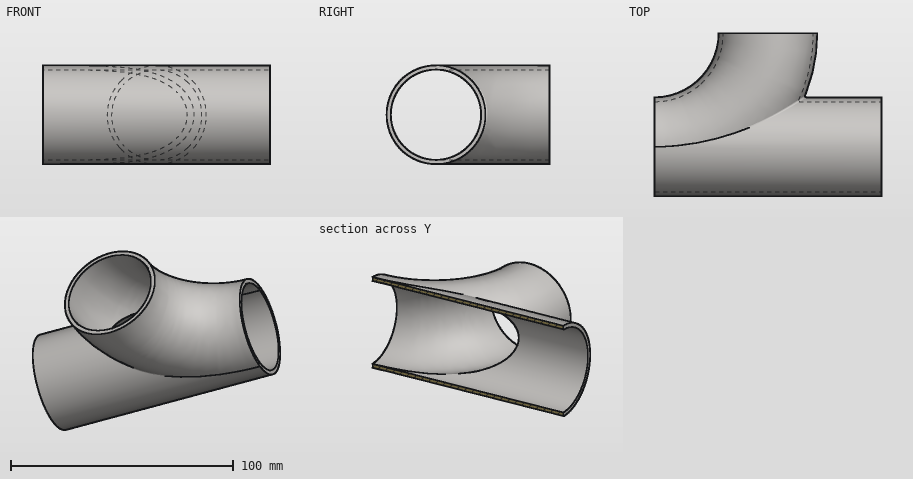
import cadquery as cq

run_length = 102.0
outer_diameter = 44.5
inner_diameter = 40.5
bend_radius = 51.0
bend_angle = 90.0
joint_fillet = 0.7

joint_end_x = 2 * bend_radius
joint_end_y = joint_end_x**2 / (4 * bend_radius)

UPPER = 1
LOWER = -1


def elbow_side(half):
    """Block on the elbow side (+Y) of the parabolic joint, above or below Z = 0."""
    return (
        cq.Workplane("XY")
        .bezier([(0, 0), (joint_end_x / 2, 0), (joint_end_x, joint_end_y)])
        .lineTo(0, joint_end_y)
        .close()
        .extrude(half * outer_diameter)
    )


def half_run(diameter, half):
    """Half of the straight bar along +X, without its elbow side."""
    radius = diameter / 2
    half_disc = (
        cq.Workplane("YZ")
        .moveTo(-radius, 0)
        .threePointArc((0, half * radius), (radius, 0))
        .close()
    )
    return half_disc.extrude(run_length).cut(elbow_side(half))


def half_elbow(diameter, half):
    """Half of the quarter torus turning from +X to +Y, trimmed at the joint."""
    axis_start = (bend_radius, 0, 0)
    axis_end = (bend_radius, 1, 0)
    quarter_torus = cq.Workplane("YZ").circle(diameter / 2).revolve(bend_angle, axis_start, axis_end)
    return quarter_torus.intersect(elbow_side(half))


def half_tee(diameter, half):
    """Half of a solid tee, with its joint line filleted."""
    tee = half_run(diameter, half).union(half_elbow(diameter, half))
    return tee.edges("%BSPLINE").fillet(joint_fillet)


def solid_tee(diameter):
    """Whole solid tee; each half is filleted alone so that it has a single joint edge."""
    return half_tee(diameter, UPPER).union(half_tee(diameter, LOWER))


tee = solid_tee(outer_diameter).cut(solid_tee(inner_diameter))
result = cq.Workplane(tee.solids().val())